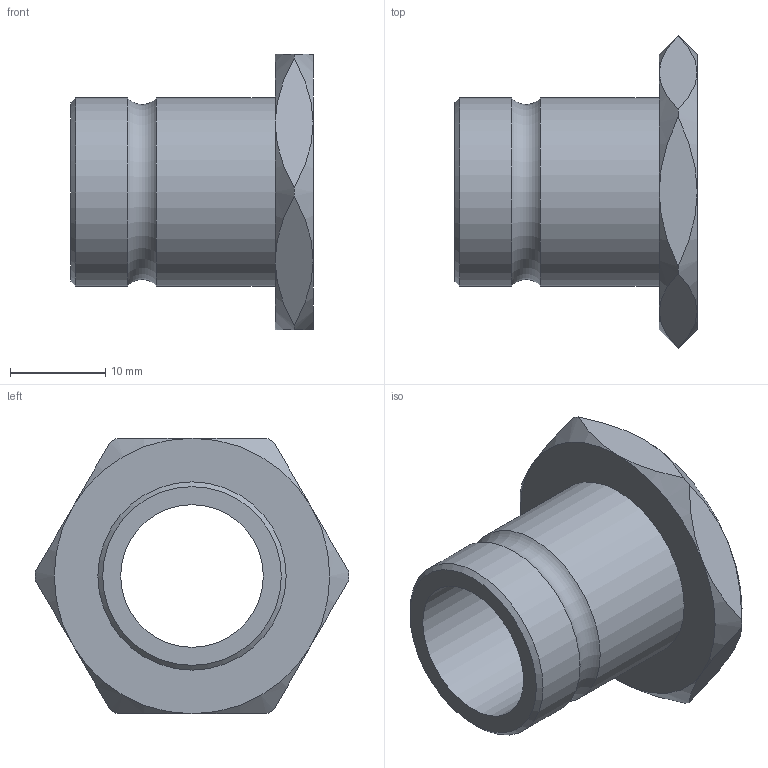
import cadquery as cq
import math

total_length = 25.5
bore_diameter = 15.0
tube_diameter = 19.8
tube_chamfer = 0.5

hex_sides = 6
hex_thickness = 4.0
hex_across_flats = 29.0
hex_corner_diameter = 33.0

groove_center_x = 7.5
groove_width = 3.0
groove_depth = 0.7

tube_radius = tube_diameter / 2
hex_start_x = total_length - hex_thickness
hex_middle_x = total_length - hex_thickness / 2
hex_face_radius = hex_across_flats / 2
hex_corner_radius = hex_corner_diameter / 2


def make_tube():
    """Solid cylinder along X with a chamfered free end."""
    return (
        cq.Workplane("YZ")
        .circle(tube_radius)
        .extrude(total_length)
        .faces("<X")
        .chamfer(tube_chamfer)
    )


def make_hex_flange():
    """Hexagon with corners on Y, trimmed by two cones back to back."""
    across_corners = hex_across_flats / math.cos(math.pi / hex_sides)
    prism = (
        cq.Workplane("YZ", origin=(hex_start_x, 0, 0))
        .polygon(hex_sides, across_corners)
        .extrude(hex_thickness)
    )
    double_cone = (
        cq.Workplane("XY")
        .moveTo(hex_start_x, 0)
        .lineTo(hex_start_x, hex_face_radius)
        .lineTo(hex_middle_x, hex_corner_radius)
        .lineTo(total_length, hex_face_radius)
        .lineTo(total_length, 0)
        .close()
        .revolve(360, (0, 0, 0), (1, 0, 0))
    )
    return prism.intersect(double_cone)


def make_groove_cutter():
    """Ring with an arc-bottomed profile that cuts the groove around the tube."""
    half_width = groove_width / 2
    return (
        cq.Workplane("XY")
        .moveTo(groove_center_x - half_width, tube_radius)
        .threePointArc(
            (groove_center_x, tube_radius - groove_depth),
            (groove_center_x + half_width, tube_radius),
        )
        .close()
        .revolve(360, (0, 0, 0), (1, 0, 0))
    )


def make_bore():
    """Cylinder for the through bore."""
    return cq.Workplane("YZ").circle(bore_diameter / 2).extrude(total_length)


result = make_tube().union(make_hex_flange()).cut(make_groove_cutter()).cut(make_bore())